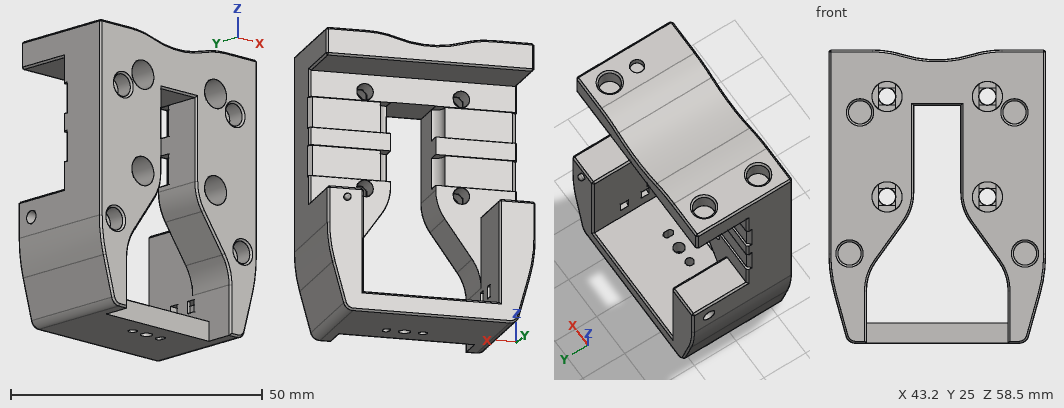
import cadquery as cq
import math

width = 43.2
height = 58.45
total_depth = 25.0
half_width = width / 2
edge_chamfer = 0.4

base_depth = 23.95
arm_depth = 23.0
column_depth = 10.9
plate_front = 6.25

plate_top = 4.1
tower_top = 25.4
arm_bottom = 52.7

dip_half_span = 12.9
dip_inflection = 6.85
dip_depth = 2.0
taper_angle = math.radians(15.5)
taper_radius = 30.0
taper_start = 17.8
foot_radius = 2.0

window_top = 47.4
window_half_top = 4.7
window_half_base = 14.1
neck_top = 26.75
neck_bottom = 13.7
neck_radius = 10.0

magnet_diameter = 4.6
magnet_depth = 4.0
magnet_chamfer = 0.4
front_magnets = [(15.35, 46.0), (17.5, 17.9)]
top_magnets = [(-16.85, 18.05), (-16.85, 5.1), (16.85, 18.05)]

screw_diameter = 3.4
head_diameter = 6.0
head_depth = 5.85
step_depth = 0.3
screw_spacing = 20.0
screw_center_height = 39.15

strap_spacing = 10.0
strap_height = 6.35
strap_floor = 10.5
strap_outer_bevel = 0.8
strap_pocket_radius = 2.0
strap_pocket_x = 4.8
strap_pocket_y = 9.95

tie_front = 10.45
tie_back = 17.3
tie_bar_front = 12.35
tie_bar_back = 15.35
tie_bar_thickness = 0.6
tie_depth = 2.7
tie_bottom = 7.0
tie_height = 2.5

top_hole_diameter = 3.0
top_hole_depth = 1.5
top_hole_spot = (16.85, 11.5)
side_hole_diameter = 2.7
side_hole_depth = 2.9
side_hole_spot = (20.05, 21.5)
plate_hole_diameter = 2.4
plate_slot_width = 1.4
plate_slot_length = 2.2
plate_pin_diameter = 1.8
plate_hole_spacing = 3.8
plate_hole_spot = (1.9, 11.45)
pin_diameter = 1.4
pin_tip_round = 0.6
pin_spot = (17.6, 23.25)
pin_root = 1.15


def block(x_range, y_range, z_range):
    """Box given by its limits along each axis."""
    limits = (x_range, y_range, z_range)
    sizes = [high - low for low, high in limits]
    corner = cq.Vector(*[low for low, high in limits])
    return cq.Workplane(cq.Solid.makeBox(*sizes, corner))


def rod(diameter, length, start, direction):
    """Cylinder from a start point along a direction."""
    return cq.Workplane(cq.Solid.makeCylinder(diameter / 2, length, cq.Vector(*start), cq.Vector(*direction)))


def mirror_x(shape):
    """The shape together with its mirror image across X = 0."""
    return shape.union(shape.mirror("YZ"))


def outer_body():
    """Outline with the hollow top and tapered feet, extruded to the full depth."""
    half_slope = math.atan(dip_depth / dip_half_span)
    crest_radius = (dip_half_span - dip_inflection) / math.sin(2 * half_slope)
    crest_mid_x = dip_half_span - crest_radius * math.sin(half_slope)
    crest_mid_z = height - crest_radius * (1 - math.cos(half_slope))
    inflection_z = height - (dip_half_span - dip_inflection) * math.tan(half_slope)
    hollow_z = height - dip_depth

    def taper_point(angle):
        x = half_width - taper_radius * (1 - math.cos(angle))
        return x, taper_start - taper_radius * math.sin(angle)

    taper_x, taper_z = taper_point(taper_angle)
    mid_x, mid_z = taper_point(taper_angle / 2)
    foot_x = taper_x - taper_z * math.tan(taper_angle)
    body = (
        cq.Workplane("XZ")
        .moveTo(-foot_x, 0)
        .lineTo(foot_x, 0)
        .lineTo(taper_x, taper_z)
        .threePointArc((mid_x, mid_z), (half_width, taper_start))
        .lineTo(half_width, height)
        .lineTo(dip_half_span, height)
        .threePointArc((crest_mid_x, crest_mid_z), (dip_inflection, inflection_z))
        .threePointArc((0, hollow_z), (-dip_inflection, inflection_z))
        .threePointArc((-crest_mid_x, crest_mid_z), (-dip_half_span, height))
        .lineTo(-half_width, height)
        .lineTo(-half_width, taper_start)
        .threePointArc((-mid_x, mid_z), (-taper_x, taper_z))
        .close()
        .extrude(-base_depth)
    )
    return body.edges("|Y and <Z").fillet(foot_radius)


def window():
    """Bottle-shaped opening through the columns."""
    right_side = [
        (window_half_base, 0),
        (window_half_base, neck_bottom),
        (window_half_top, neck_top),
        (window_half_top, window_top),
    ]
    left_side = [(-x, z) for x, z in reversed(right_side)]
    opening = cq.Workplane("XZ").polyline(right_side + left_side).close().extrude(-column_depth)

    def neck_edges(z):
        reach = window_half_base + 0.6
        return cq.selectors.BoxSelector((-reach, -0.6, z - 0.6), (reach, base_depth, z + 0.6))

    opening = opening.edges(neck_edges(neck_top)).fillet(neck_radius)
    return opening.edges(neck_edges(neck_bottom)).fillet(neck_radius)


def frame():
    """Columns, arm, towers and base plate with all outer edges chamfered."""
    full_x = (-half_width, half_width)
    inner_x = (-window_half_base, window_half_base)
    body = outer_body().cut(window())
    body = body.cut(block(full_x, (column_depth, base_depth), (tower_top, arm_bottom)))
    body = body.cut(block(full_x, (arm_depth, base_depth), (arm_bottom, height)))
    body = body.cut(block(inner_x, (column_depth, base_depth), (0, tower_top)))
    body = body.union(block(inner_x, (plate_front, base_depth), (0, plate_top)))

    tolerance = 0.0005
    flat_depths = (0, arm_depth, base_depth)

    def same(first, second):
        return abs(first - second) < tolerance

    def on_outer_face(edge):
        box = edge.BoundingBox()
        flat_y = same(box.ylen, 0) and any(same(box.ymin, depth) for depth in flat_depths)
        flat_x = same(box.xlen, 0) and same(abs(box.xmin), half_width)
        tangent_seam = flat_x and same(box.zlen, 0) and same(box.zmin, taper_start)
        tower_rim = same(box.zlen, 0) and same(box.zmin, tower_top) and box.ymin > column_depth - tolerance
        inner_rim = tower_rim and same(box.xlen, 0)
        return (flat_y or flat_x or inner_rim) and not tangent_seam

    return body.newObject([e for e in body.edges().vals() if on_outer_face(e)]).chamfer(edge_chamfer)


def magnet_pocket(start, direction):
    """Blind pocket with a chamfered mouth."""
    mouth = cq.Solid.makeCone(
        magnet_diameter / 2 + magnet_chamfer,
        magnet_diameter / 2,
        magnet_chamfer,
        cq.Vector(*start),
        cq.Vector(*direction),
    )
    return rod(magnet_diameter, magnet_depth, start, direction).union(cq.Workplane(mouth))


def screw_hole(x, z):
    """Counterbored hole whose floor steps from a slot to a square to the round hole."""
    head = rod(head_diameter, head_depth, (x, 0, z), (0, 1, 0))
    half = screw_diameter / 2
    slot_floor = head_depth + step_depth
    square_floor = slot_floor + step_depth
    slot_x = (x - half, x + half)
    slot = block(slot_x, (0, slot_floor), (z - head_diameter / 2, z + head_diameter / 2))
    slot = slot.intersect(rod(head_diameter, slot_floor, (x, 0, z), (0, 1, 0)))
    square = block(slot_x, (head_depth, square_floor), (z - half, z + half))
    shank = rod(screw_diameter, column_depth, (x, 0, z), (0, 1, 0))
    return head.union(slot).union(square).union(shank)


def strap_recess(z):
    """Groove across one column back, beveled outside and rounded into the window."""
    low = z - strap_height / 2
    groove = block((0, half_width), (strap_floor, column_depth), (low, low + strap_height))
    bevel = (
        cq.Workplane("XY", origin=(0, 0, low))
        .moveTo(half_width, strap_floor - strap_outer_bevel)
        .lineTo(half_width, strap_floor)
        .lineTo(half_width - strap_outer_bevel, strap_floor)
        .close()
        .extrude(strap_height)
    )
    pocket = rod(2 * strap_pocket_radius, strap_height, (strap_pocket_x, strap_pocket_y, low), (0, 0, 1))
    return groove.union(bevel).union(pocket)


def tie_tunnel():
    """Tunnel that passes behind a bar in the right tower's inner wall."""
    z_range = (tie_bottom, tie_bottom + tie_height)
    wall = window_half_base
    tunnel = block((wall, wall + tie_depth), (tie_front, tie_back), z_range)
    bar = block((wall, wall + tie_bar_thickness), (tie_bar_front, tie_bar_back), z_range)
    return tunnel.cut(bar)


def locating_pin():
    """Round-tipped pin standing out of the right tower's back."""
    x, z = pin_spot
    start = base_depth - pin_root
    pin = rod(pin_diameter, total_depth - start, (x, start, z), (0, 1, 0))
    return pin.faces(">Y").edges().fillet(pin_tip_round)


result = frame()

for x, z in front_magnets:
    result = result.cut(mirror_x(magnet_pocket((x, 0, z), (0, 1, 0))))
for x, y in top_magnets:
    result = result.cut(magnet_pocket((x, y, height), (0, 0, -1)))

for side in (-1, 1):
    screw_z = screw_center_height + side * screw_spacing / 2
    strap_z = screw_center_height + side * strap_spacing / 2
    result = result.cut(mirror_x(screw_hole(screw_spacing / 2, screw_z)))
    result = result.cut(mirror_x(strap_recess(strap_z)))

result = result.cut(mirror_x(tie_tunnel()))

result = result.cut(rod(top_hole_diameter, top_hole_depth, (*top_hole_spot, height), (0, 0, -1)))
result = result.cut(rod(side_hole_diameter, side_hole_depth, (-half_width, *side_hole_spot), (1, 0, 0)))

plate_x, plate_y = plate_hole_spot
result = result.cut(rod(plate_hole_diameter, plate_top, (plate_x, plate_y, 0), (0, 0, 1)))
result = result.cut(rod(plate_pin_diameter, plate_top, (plate_x - plate_hole_spacing, plate_y, 0), (0, 0, 1)))
plate_slot = cq.Workplane("XY").slot2D(plate_slot_length, plate_slot_width, 90).extrude(plate_top)
result = result.cut(plate_slot.translate((plate_x + plate_hole_spacing, plate_y, 0)))

result = result.union(locating_pin())